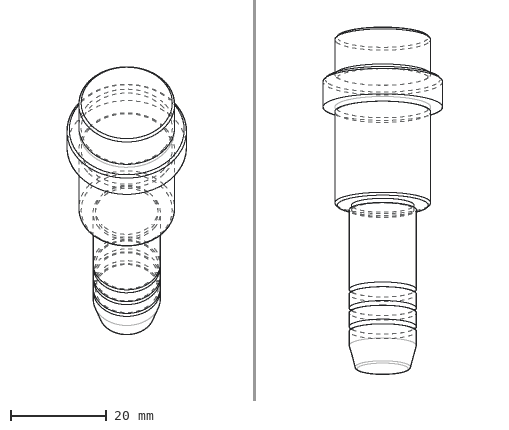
import cadquery as cq
import math

total_height = 71.0
body_radius = 10.0
collar_radius = 12.5
shank_radius = 7.0
edge_chamfer = 0.5
tip_fillet = 0.5

head_height = 8.0
relief_width = 1.0
collar_height = 5.95
barrel_height = 21.0
undercut_depth = 0.5
taper_height = 5.0
taper_angle = math.radians(15)

shank_groove_count = 3
shank_groove_pitch = 4.0
first_shank_groove_z = 8.5

head_bottom = total_height - head_height
collar_top = head_bottom - relief_width
collar_bottom = collar_top - collar_height
barrel_bottom = collar_bottom - barrel_height
shank_top = barrel_bottom - relief_width
tip_radius = shank_radius - taper_height * math.tan(taper_angle)
groove_radius = relief_width / 2


def cylinder(radius, bottom, top):
    """Cylinder on the Z axis between two levels."""
    return cq.Workplane("XY").workplane(offset=bottom).circle(radius).extrude(top - bottom)


def round_groove(surface_radius, center_z):
    """Ring with a round section, centred on a cylindrical surface."""
    section = cq.Workplane("XZ").center(surface_radius, center_z).circle(groove_radius)
    return section.revolve(360, (-surface_radius, 0, 0), (-surface_radius, 1, 0))


taper = (
    cq.Workplane("XY")
    .circle(tip_radius)
    .workplane(offset=taper_height)
    .circle(shank_radius)
    .loft(ruled=True)
    .faces("<Z")
    .edges()
    .fillet(tip_fillet)
)
shank = taper.union(cylinder(shank_radius, taper_height, shank_top))

undercut = cylinder(shank_radius - undercut_depth, shank_top, barrel_bottom)

body = cylinder(body_radius, barrel_bottom, total_height).edges().chamfer(edge_chamfer)

collar = cylinder(collar_radius, collar_bottom, collar_top).faces(">Z").edges().chamfer(edge_chamfer)

result = shank.union(undercut).union(body)

for center_z in (collar_top + groove_radius, collar_bottom - groove_radius):
    result = result.cut(round_groove(body_radius, center_z))
result = result.union(collar)

for index in range(shank_groove_count):
    center_z = first_shank_groove_z + index * shank_groove_pitch
    result = result.cut(round_groove(shank_radius, center_z))